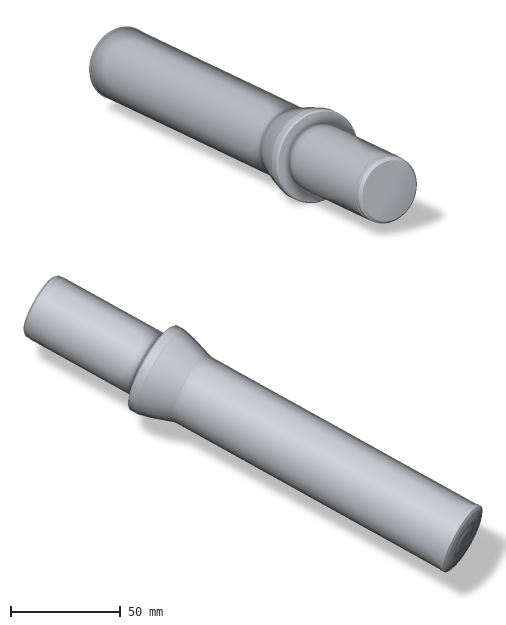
import cadquery as cq

LENGTH = 227.0
LEFT_END = -LENGTH / 2
RIGHT_END = LENGTH / 2

HANDLE_RADIUS = 34.0 / 2
COLLAR_RADIUS = 44.0 / 2
COLLAR_END = LEFT_END + 166.8
COLLAR_WIDTH = 5.5
COLLAR_EDGE = 0.7
FLARE_LENGTH = 17.0
FLARE_BULGE = 0.5
FLARE_BLEND_LENGTH = 1.5
FLARE_BLEND_RISE = 0.2
RIM_RADIUS = 31.0 / 2
BEAD_RADIUS = HANDLE_RADIUS + 0.2
BEAD_START = LEFT_END + 1.1
BEAD_END = LEFT_END + 3.0

RIPPLE_DEPTH = 0.35
OUTER_CREST_RADIUS = 11.4
TROUGH_RADIUS = 8.2
INNER_CREST_RADIUS = 5.2

SHANK_RADIUS = 32.0 / 2
NECK_RADIUS = 31.5 / 2
NECK_LENGTH = 2.3
TIP_RADIUS = NECK_RADIUS
TIP_LENGTH = 3.9
TIP_CHAMFER = 1.4


def make_handle():
    """Revolve the shaft, bead, flare, collar and rippled left face about X."""
    collar_start = COLLAR_END - COLLAR_WIDTH
    flare_start = collar_start - FLARE_LENGTH
    flare_end_radius = COLLAR_RADIUS - COLLAR_EDGE / 3
    blend_end = flare_start + FLARE_BLEND_LENGTH
    blend_radius = HANDLE_RADIUS + FLARE_BLEND_RISE
    flare_middle = (
        (blend_end + collar_start) / 2,
        (blend_radius + flare_end_radius) / 2 + FLARE_BULGE,
    )
    return (
        cq.Workplane("XY")
        .moveTo(LEFT_END + RIPPLE_DEPTH, 0)
        .lineTo(LEFT_END, INNER_CREST_RADIUS)
        .lineTo(LEFT_END + RIPPLE_DEPTH, TROUGH_RADIUS)
        .lineTo(LEFT_END, OUTER_CREST_RADIUS)
        .lineTo(LEFT_END + RIPPLE_DEPTH, RIM_RADIUS)
        .lineTo(BEAD_START, BEAD_RADIUS)
        .lineTo(BEAD_END, BEAD_RADIUS)
        .lineTo(BEAD_END, HANDLE_RADIUS)
        .lineTo(flare_start, HANDLE_RADIUS)
        .lineTo(blend_end, blend_radius)
        .threePointArc(flare_middle, (collar_start, flare_end_radius))
        .lineTo(collar_start + COLLAR_EDGE, COLLAR_RADIUS)
        .lineTo(COLLAR_END - COLLAR_EDGE, COLLAR_RADIUS)
        .lineTo(COLLAR_END, COLLAR_RADIUS - COLLAR_EDGE)
        .lineTo(COLLAR_END, 0)
        .close()
        .revolve(360, (0, 0, 0), (1, 0, 0))
    )


def make_shank():
    """Revolve the shank, from its neck at the collar to its tip."""
    neck_end = COLLAR_END + NECK_LENGTH
    return (
        cq.Workplane("XY")
        .moveTo(COLLAR_END, 0)
        .lineTo(COLLAR_END, NECK_RADIUS)
        .lineTo(neck_end, NECK_RADIUS)
        .lineTo(neck_end, SHANK_RADIUS)
        .lineTo(RIGHT_END - TIP_LENGTH, SHANK_RADIUS)
        .lineTo(RIGHT_END - TIP_LENGTH, TIP_RADIUS)
        .lineTo(RIGHT_END - TIP_CHAMFER, TIP_RADIUS)
        .lineTo(RIGHT_END, TIP_RADIUS - TIP_CHAMFER)
        .lineTo(RIGHT_END, 0)
        .close()
        .revolve(360, (0, 0, 0), (1, 0, 0))
    )


handle = make_handle()
shank = make_shank()
result = cq.Compound.makeCompound([handle.val(), shank.val()])